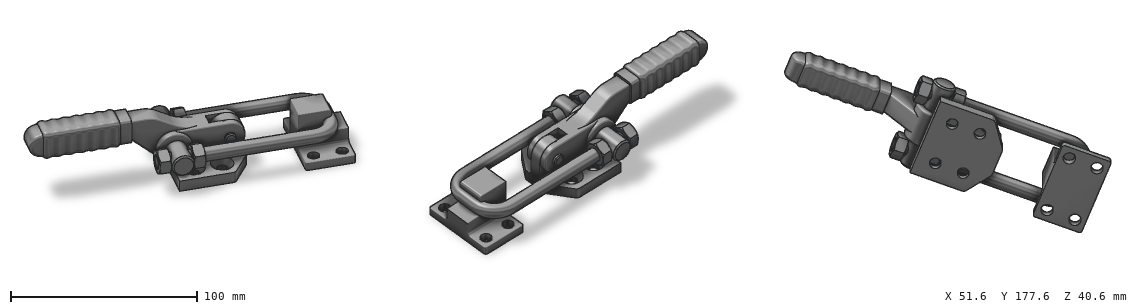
import cadquery as cq
import math


bar_z = 18.0
bar_radius = 12.6 / 2
bar_half_length = 25.8
bar_chamfer = 0.9
rod_clearance_diameter = 8.5

rod_radius = 8.0 / 2
rod_offset = 17.6
rod_chamfer = 0.9
bend_radius = 12.0
bow_y = 87.3
nut_across_flats = 13.0
nut_height = 6.5
nut_chamfer_angle = math.radians(30)
nut_face_inset = 0.2
nut_face_radius = nut_across_flats / 2 - nut_face_inset

hub_radius = 20.0 / 2
hub_half_width = 10.0
hub_rounding = 1.2
arm_half_width = 7.55
arm_top_z = bar_z + hub_radius
edge_rounding = 1.2
fork_radius = 8.7
fork_slot_width = 7.0
fork_slot_end_y = 20.5
handle_half_width = 5.7
handle_start_y = 13.3
underside_slope = math.radians(43)
handle_slope = math.radians(30)
handle_lower_bend_radius = 25.5
handle_slope_run = 8.2
handle_upper_bend_radius = 14.8

grip_z = 32.0
grip_start_y = -23.6
grip_end_y = -80.5
grip_core_half_width = 6.8
grip_core_half_height = 7.38
grip_corner_radius = 2.22
grip_tip_y = -74.5
grip_tip_half_height = 7.0
collar_end_y = -29.0
collar_rise = 0.2
ridge_start_y = -30.0
end_ridge_length = 3.9
ridge_length = 3.2
ridge_segments = 11
ridge_end_y = ridge_start_y - 2 * end_ridge_length - ridge_segments * ridge_length
ridge_crest = 1.15
ridge_middle = 0.9
ridge_valley = 0.62

pivot_y = 31.1
tongue_radius = 9.0
pivot_z = arm_top_z - tongue_radius
pin_radius = 6.5 / 2
pin_half_length = 9.5
pin_chamfer = 0.7

base_half_width = 22.5
base_thickness = 6.5
base_front_y = -1.5
base_back_y = pivot_y + tongue_radius
base_back_half_width = 7.8
base_taper_length = 10.3
base_corner_radius = 3.0
root_fillet = 2.0
foot_half_width = 7.0
foot_front_y = 2.1
foot_back_y = 10.7
mount_hole_pitch = 16.0
base_hole_x = 12.5
base_hole_y = 9.2
base_hole_diameter = 6.2
countersink_diameter = 12.6
countersink_angle = 90

catch_front_y = 69.1
catch_length = 28.0
catch_half_width = 22.5
catch_thickness = 4.8
catch_corner_radius = 1.6
catch_edge_rounding = 0.5
catch_hole_x = 16.4
catch_hole_diameter = 6.5
block_half_width = 8.4
block_height = 26.8
nose_rounding = 1.8
block_root_fillet = 2.5
nose_y = 87.8
groove_radius = 4.3
groove_y = 86.7
ledge_z = 13.2

both_sides = (-1, 1)
pick_margin = 0.2


def x_cylinder(radius, half_length, y, z):
    """Cylinder along X, centred on X = 0."""
    return cq.Workplane("YZ").center(y, z).circle(radius).extrude(half_length, both=True)


def arm_outline():
    """Side outline that wraps the hub circle and the fork circle with two tangent lines."""
    fork_z = arm_top_z - fork_radius
    tilt = math.atan2(fork_z - bar_z, pivot_y)
    normal_y = math.sin(2 * tilt)
    normal_z = -math.cos(2 * tilt)
    return (
        cq.Workplane("YZ")
        .moveTo(0, arm_top_z)
        .lineTo(pivot_y, arm_top_z)
        .threePointArc(
            (pivot_y + fork_radius, fork_z),
            (pivot_y + fork_radius * normal_y, fork_z + fork_radius * normal_z),
        )
        .lineTo(hub_radius * normal_y, bar_z + hub_radius * normal_z)
        .threePointArc((-hub_radius, bar_z), (0, arm_top_z))
        .close()
    )


def make_cross_bar():
    bar = x_cylinder(bar_radius, bar_half_length, 0, bar_z).edges().chamfer(bar_chamfer)
    rod_holes = (
        cq.Workplane("XZ")
        .pushPoints([(side * rod_offset, bar_z) for side in both_sides])
        .circle(rod_clearance_diameter / 2)
        .extrude(2 * bar_radius, both=True)
    )
    return bar.cut(rod_holes)


def make_u_bolt():
    rod_end_y = -bar_radius - nut_height
    bend_y = bow_y - bend_radius
    bend_x = rod_offset - bend_radius
    diagonal = bend_radius * math.sqrt(0.5)
    path = (
        cq.Workplane("XY", origin=(0, 0, bar_z))
        .moveTo(-rod_offset, rod_end_y)
        .lineTo(-rod_offset, bend_y)
        .threePointArc((-bend_x - diagonal, bend_y + diagonal), (-bend_x, bow_y))
        .lineTo(bend_x, bow_y)
        .threePointArc((bend_x + diagonal, bend_y + diagonal), (rod_offset, bend_y))
        .lineTo(rod_offset, rod_end_y)
    )
    rod = cq.Workplane("XZ", origin=(-rod_offset, rod_end_y, bar_z)).circle(rod_radius).sweep(path)
    return rod.faces("<Y").edges().chamfer(rod_chamfer)


def make_nut(side, inner_y, direction):
    """Hexagon nut from inner_y outward along Y; both faces have the usual conical chamfer."""
    corner_radius = nut_across_flats / math.sqrt(3)
    chamfer_height = (corner_radius - nut_face_radius) * math.tan(nut_chamfer_angle)
    hexagon = (
        cq.Workplane("XY")
        .polygon(6, 2 * corner_radius)
        .extrude(nut_height)
        .rotate((0, 0, 0), (0, 0, 1), 30)
    )
    turned_blank = (
        cq.Workplane("XZ")
        .moveTo(0, 0)
        .lineTo(nut_face_radius, 0)
        .lineTo(corner_radius, chamfer_height)
        .lineTo(corner_radius, nut_height - chamfer_height)
        .lineTo(nut_face_radius, nut_height)
        .lineTo(0, nut_height)
        .close()
        .revolve(360, (0, 0, 0), (0, 1, 0))
    )
    nut = hexagon.intersect(turned_blank).faces(">Z").workplane().circle(rod_radius).cutThruAll()
    turned = nut.rotate((0, 0, 0), (1, 0, 0), -90 * direction)
    return turned.translate((side * rod_offset, inner_y, bar_z))


def make_handle():
    """Cranked neck that rises from the arm to the grip; its underside leaves the hub on a tangent."""
    rise_sin = math.sin(handle_slope)
    rise_cos = math.cos(handle_slope)
    half_sin = math.sin(handle_slope / 2)
    half_cos = math.cos(handle_slope / 2)
    lower_end = (
        handle_start_y - handle_lower_bend_radius * rise_sin,
        arm_top_z + handle_lower_bend_radius * (1 - rise_cos),
    )
    lower_middle = (
        handle_start_y - handle_lower_bend_radius * half_sin,
        arm_top_z + handle_lower_bend_radius * (1 - half_cos),
    )
    upper_start = (
        lower_end[0] - handle_slope_run,
        lower_end[1] + handle_slope_run * math.tan(handle_slope),
    )
    top_y = upper_start[0] - handle_upper_bend_radius * rise_sin
    top_z = upper_start[1] + handle_upper_bend_radius * (1 - rise_cos)
    upper_middle = (
        top_y + handle_upper_bend_radius * half_sin,
        top_z - handle_upper_bend_radius * (1 - half_cos),
    )
    tangent_y = -hub_radius * math.sin(underside_slope)
    tangent_z = bar_z - hub_radius * math.cos(underside_slope)
    underside_end_y = grip_start_y - grip_corner_radius
    underside_end_z = tangent_z + (tangent_y - underside_end_y) * math.tan(underside_slope)
    return (
        cq.Workplane("YZ")
        .moveTo(handle_start_y, arm_top_z)
        .threePointArc(lower_middle, lower_end)
        .lineTo(*upper_start)
        .threePointArc(upper_middle, (top_y, top_z))
        .lineTo(underside_end_y, top_z)
        .lineTo(underside_end_y, underside_end_z)
        .lineTo(tangent_y, tangent_z)
        .lineTo(handle_start_y, tangent_z)
        .close()
        .extrude(handle_half_width, both=True)
        .edges("not(|X or |Z)")
        .edges("not(<Z)")
        .fillet(edge_rounding)
    )


def make_grip_core():
    """Rounded bar with a slight taper and a round tip."""
    return (
        cq.Workplane("YZ")
        .moveTo(grip_start_y, grip_z + grip_core_half_height)
        .lineTo(ridge_end_y, grip_z + grip_core_half_height)
        .lineTo(grip_tip_y, grip_z + grip_tip_half_height)
        .threePointArc((grip_end_y, grip_z), (grip_tip_y, grip_z - grip_tip_half_height))
        .lineTo(ridge_end_y, grip_z - grip_core_half_height)
        .lineTo(grip_start_y, grip_z - grip_core_half_height)
        .close()
        .extrude(grip_core_half_width, both=True)
        .edges("not(|X or |Z)")
        .fillet(grip_corner_radius)
    )


def ridge_profile():
    """Half section through the wavy skin of the grip, standing on the Y axis."""
    base = grip_corner_radius
    first_y = ridge_start_y - end_ridge_length
    last_y = ridge_end_y + end_ridge_length
    profile = (
        cq.Workplane("YZ")
        .moveTo(grip_start_y, 0)
        .lineTo(grip_start_y, base + collar_rise)
        .lineTo(collar_end_y, base + collar_rise)
        .lineTo(ridge_start_y, base)
        .threePointArc((ridge_start_y - end_ridge_length / 2, base + ridge_crest), (first_y, base + ridge_middle))
    )
    for segment in range(ridge_segments):
        start_y = first_y - segment * ridge_length
        peak = ridge_crest if segment % 2 else ridge_valley
        profile = profile.threePointArc(
            (start_y - ridge_length / 2, base + peak), (start_y - ridge_length, base + ridge_middle)
        )
    return (
        profile.threePointArc((last_y - end_ridge_length / 2, base + ridge_crest), (ridge_end_y, base))
        .lineTo(ridge_end_y, 0)
        .close()
    )


def make_grip_ridges():
    """Ridged skin: wavy slabs on the four flats and turned quarters on the four corners."""
    corner_x = grip_core_half_width - grip_corner_radius
    corner_z = grip_core_half_height - grip_corner_radius
    total_length = grip_start_y - ridge_end_y
    flat_slab = ridge_profile().extrude(corner_x, both=True).translate((0, 0, corner_z))
    side_slab = (
        ridge_profile()
        .extrude(corner_z, both=True)
        .rotate((0, 0, 0), (0, 1, 0), 90)
        .translate((corner_x, 0, 0))
    )
    corner = (
        ridge_profile()
        .revolve(90, (0, 0, 0), (1, 0, 0))
        .translate((corner_x, 0, corner_z))
    )
    filling = cq.Workplane("XY").box(2 * corner_x, total_length, 2 * corner_z)
    ridges = filling.translate((0, (grip_start_y + ridge_end_y) / 2, 0))
    for turn in (0, 180):
        for piece in (flat_slab, side_slab, corner, corner.mirror("YZ")):
            ridges = ridges.union(piece.rotate((0, 0, 0), (0, 1, 0), turn))
    return ridges.translate((0, 0, grip_z))


def make_lever():
    arm = arm_outline().extrude(arm_half_width, both=True).faces("<X or >X").edges().fillet(edge_rounding)
    hub = x_cylinder(hub_radius, hub_half_width, 0, bar_z).edges().fillet(hub_rounding)
    lever = arm.union(hub).union(make_handle())
    fork_slot = cq.Workplane("XY").box(
        fork_slot_width, 2 * fork_radius + pivot_y, 2 * arm_top_z, centered=(True, False, False)
    )
    lever = lever.cut(fork_slot.translate((0, fork_slot_end_y, 0)))
    lever = lever.cut(x_cylinder(bar_radius, hub_half_width, 0, bar_z))
    lever = lever.cut(x_cylinder(pin_radius, arm_half_width, pivot_y, pivot_z))
    return lever.union(make_grip_core()).union(make_grip_ridges())


def make_pivot_pin():
    return x_cylinder(pin_radius, pin_half_length, pivot_y, pivot_z).edges().chamfer(pin_chamfer)


def make_base_plate():
    """Plate whose back corners are cut off at a slant and rounded where the slant meets the sides."""
    taper_y = base_back_y - base_taper_length
    taper_corners = cq.selectors.BoxSelector(
        (-2 * base_half_width, taper_y - pick_margin, -pick_margin),
        (2 * base_half_width, taper_y + pick_margin, base_thickness + pick_margin),
    )
    return (
        cq.Workplane("XY")
        .polyline(
            [
                (-base_half_width, base_front_y),
                (base_half_width, base_front_y),
                (base_half_width, taper_y),
                (base_back_half_width, base_back_y),
                (-base_back_half_width, base_back_y),
                (-base_half_width, taper_y),
            ]
        )
        .close()
        .extrude(base_thickness)
        .edges(taper_corners)
        .edges("|Z")
        .fillet(base_corner_radius)
    )


def make_tongue():
    """Upright plate with a round top that stands in the fork slot."""
    return (
        cq.Workplane("YZ")
        .moveTo(pivot_y - tongue_radius, base_thickness)
        .lineTo(pivot_y - tongue_radius, pivot_z)
        .threePointArc((pivot_y, arm_top_z), (pivot_y + tongue_radius, pivot_z))
        .lineTo(pivot_y + tongue_radius, base_thickness)
        .close()
        .extrude(fork_slot_width / 2, both=True)
    )


def make_foot():
    """Block under the hub, before the seat of the lever is cut out of it."""
    foot = cq.Workplane("XY").box(
        2 * foot_half_width, foot_back_y - foot_front_y, bar_z - base_thickness, centered=(True, False, False)
    )
    return foot.translate((0, foot_front_y, base_thickness))


def make_lever_seat():
    """Space of the lever arm and hub in front of the fork slot."""
    seat = arm_outline().extrude(hub_half_width, both=True)
    fork_space = cq.Workplane("XY").box(
        4 * hub_half_width, 2 * base_back_y, 4 * arm_top_z, centered=(True, False, True)
    )
    return seat.cut(fork_space.translate((0, fork_slot_end_y, 0)))


def make_base():
    base = make_base_plate().union(make_tongue()).union(make_foot())
    root_edges = cq.selectors.BoxSelector(
        (-foot_half_width - pick_margin, foot_front_y - pick_margin, base_thickness - pick_margin),
        (foot_half_width + pick_margin, base_back_y - pick_margin, base_thickness + pick_margin),
    )
    base = base.edges(root_edges).fillet(root_fillet)
    base = base.cut(make_lever_seat())
    base = base.cut(x_cylinder(pin_radius, fork_slot_width, pivot_y, pivot_z))
    hole_places = [
        (side * base_hole_x, base_hole_y + row * mount_hole_pitch) for side in both_sides for row in range(2)
    ]
    return (
        base.copyWorkplane(cq.Workplane("XY", origin=(0, 0, base_thickness)))
        .pushPoints(hole_places)
        .cskHole(base_hole_diameter, countersink_diameter, countersink_angle)
    )


def make_catch_block():
    """Hook block: nose on top, round groove for the bow of the U-bolt, ledge below it."""
    back_y = catch_front_y + catch_length
    nose_edges = cq.selectors.BoxSelector(
        (-1.8, nose_y - pick_margin, 0), (1.8, nose_y + pick_margin, 2 * block_height)
    )
    return (
        cq.Workplane("YZ")
        .moveTo(catch_front_y, 0)
        .lineTo(catch_front_y, block_height)
        .lineTo(nose_y, block_height)
        .lineTo(nose_y, bar_z + groove_radius)
        .lineTo(groove_y, bar_z + groove_radius)
        .threePointArc((groove_y - groove_radius, bar_z), (groove_y, bar_z - groove_radius))
        .lineTo(back_y, ledge_z)
        .lineTo(back_y, 0)
        .close()
        .extrude(block_half_width, both=True)
        .edges(nose_edges)
        .edges("|X")
        .fillet(nose_rounding)
    )


def make_catch():
    middle_y = catch_front_y + catch_length / 2
    plate = (
        cq.Workplane("XY")
        .center(0, middle_y)
        .rect(2 * catch_half_width, catch_length)
        .extrude(catch_thickness)
        .edges("|Z")
        .fillet(catch_corner_radius)
    )
    root_edges = cq.selectors.BoxSelector(
        (-block_half_width - pick_margin, catch_front_y, catch_thickness - pick_margin),
        (block_half_width + pick_margin, catch_front_y + catch_length, catch_thickness + pick_margin),
    )
    catch = plate.union(make_catch_block())
    catch = catch.edges(root_edges).edges("|Y").fillet(block_root_fillet)
    catch = catch.faces("<Y or >Z").edges("not(<Z)").fillet(catch_edge_rounding)
    return (
        catch.faces("<Z")
        .workplane(origin=(0, middle_y, 0))
        .rect(2 * catch_hole_x, mount_hole_pitch, forConstruction=True)
        .vertices()
        .hole(catch_hole_diameter)
    )


cross_bar = make_cross_bar()
u_bolt = make_u_bolt()
nuts = [make_nut(side, direction * bar_radius, direction) for side in both_sides for direction in both_sides]
lever = make_lever()
pivot_pin = make_pivot_pin()
base = make_base()
catch = make_catch()

result = cq.Compound.makeCompound(
    [
        cross_bar.val(),
        u_bolt.val(),
        *[nut.val() for nut in nuts],
        lever.val(),
        pivot_pin.val(),
        base.val(),
        catch.val(),
    ]
)